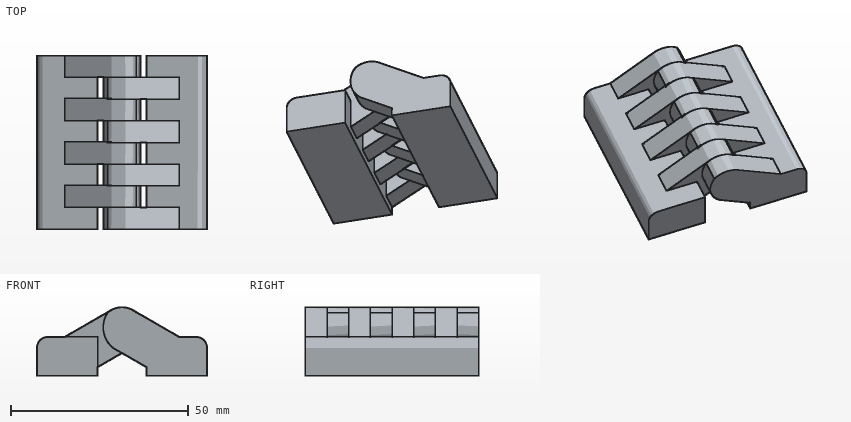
import cadquery as cq
import math

LENGTH = 49.0
WIDTH = 48.0
HEIGHT = 19.4

LEAF_HEIGHT = 11.02
LEAF_GAP = 13.7
EDGE_RADIUS = 3.1

ARM_SLOPE = math.radians(30)
CROWN_RADIUS = 6.05
CROWN_END = 4.05
NOSE_REACH = 5.3
NOSE_MIDDLE_HEIGHT = 13.55
NOSE_END = 2.45

ARM_COUNT = 4
PITCH = LENGTH / ARM_COUNT
RIGHT_ARM_WIDTH = 6.15
LEFT_ARM_WIDTH = PITCH - RIGHT_ARM_WIDTH
ARM_LAP = 0.25

LEAF_INNER = LEAF_GAP / 2
LEAF_OUTER = WIDTH / 2
CROWN_CENTER = HEIGHT - CROWN_RADIUS
FRONT = -LENGTH / 2

HALF_RISE = CROWN_RADIUS / math.cos(ARM_SLOPE)


def underside_height(x):
    return CROWN_CENTER - HALF_RISE - x * math.tan(ARM_SLOPE)


def extrude_along_y(profile, start, width):
    """Extrude an XZ profile from Y = start toward +Y."""
    return profile.extrude(-width).translate((0, start, 0))


def make_leaf():
    """Right leaf with a rounded top outer edge."""
    profile = cq.Workplane("XZ").moveTo((LEAF_INNER + LEAF_OUTER) / 2, LEAF_HEIGHT / 2)
    slab = extrude_along_y(profile.rect(LEAF_OUTER - LEAF_INNER, LEAF_HEIGHT), FRONT, LENGTH)
    return slab.edges(">X and >Z").fillet(EDGE_RADIUS)


def make_arm(start, width):
    """Right arm: sloping bar with a crown arc and a flatter nose arc."""
    top_tangent = CROWN_RADIUS * math.sin(ARM_SLOPE)
    root = (CROWN_CENTER + HALF_RISE - LEAF_HEIGHT) / math.tan(ARM_SLOPE)
    crown_end_height = CROWN_CENTER + math.sqrt(CROWN_RADIUS**2 - CROWN_END**2)
    profile = (
        cq.Workplane("XZ")
        .moveTo(LEAF_INNER, underside_height(LEAF_INNER))
        .lineTo(root, underside_height(LEAF_INNER))
        .lineTo(root, LEAF_HEIGHT)
        .lineTo(top_tangent, CROWN_CENTER + CROWN_RADIUS * math.cos(ARM_SLOPE))
        .threePointArc((0, HEIGHT), (-CROWN_END, crown_end_height))
        .threePointArc((-NOSE_REACH, NOSE_MIDDLE_HEIGHT), (-NOSE_END, underside_height(-NOSE_END)))
        .close()
    )
    return extrude_along_y(profile, start, width)


def make_right_hinge_half():
    """Leaf on +X, with its first arm flush with the front end."""
    half = make_leaf()
    for i in range(ARM_COUNT):
        half = half.union(make_arm(FRONT + i * PITCH, RIGHT_ARM_WIDTH))
    return half


def make_left_hinge_half(neighbour):
    """Leaf on -X, with its last arm flush with the back end and room for the right knuckles."""
    half = make_leaf()
    for i in range(ARM_COUNT):
        start = FRONT + i * PITCH + RIGHT_ARM_WIDTH
        lap = ARM_LAP if i < ARM_COUNT - 1 else 0
        half = half.union(make_arm(start, LEFT_ARM_WIDTH + lap))
    return half.mirror("YZ").cut(neighbour)


right_hinge_half = make_right_hinge_half()
left_hinge_half = make_left_hinge_half(right_hinge_half)

result = cq.Compound.makeCompound([right_hinge_half.solids().val(), left_hinge_half.solids().val()])